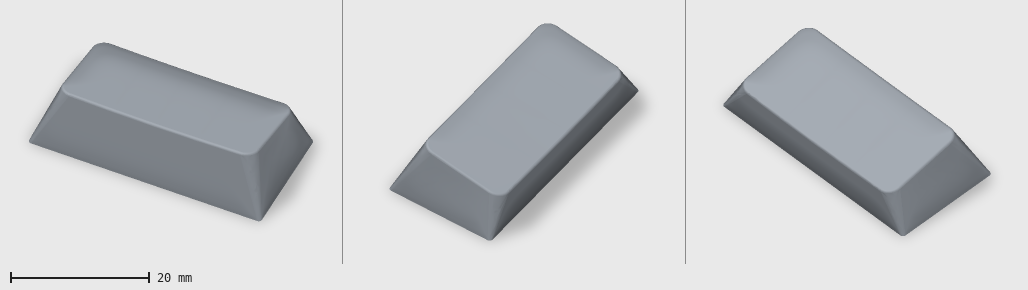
import cadquery as cq
import math

base_length = 37.15
base_width = 18.1
base_corner_radius = 0.52

top_length = 31.17
top_corner_radius = 2.1
top_front_y = -5.4
top_front_z = 8.8
top_rear_y = 8.75
top_rear_z = 6.1

dish_depth = 0.22
rim_radius = 0.4

top_run = top_rear_y - top_front_y
top_drop = top_front_z - top_rear_z
top_width = math.hypot(top_run, top_drop)
top_plane = cq.Plane(
    origin=(0, (top_front_y + top_rear_y) / 2, (top_front_z + top_rear_z) / 2),
    xDir=(1, 0, 0),
    normal=(0, top_drop, top_run),
)


def rounded_outline(plane, length, width, radius):
    """Closed rounded rectangle centred on the given plane."""
    outline = cq.Workplane(plane).rect(length, width).val()
    return outline.fillet2D(radius, outline.Vertices())


def tapered_body():
    """Straight-ruled walls from the flat base to the tilted top."""
    base = rounded_outline(cq.Plane.XY(), base_length, base_width, base_corner_radius)
    top = rounded_outline(top_plane, top_length, top_width, top_corner_radius)
    return cq.Workplane(cq.Solid.makeLoft([base, top], True))


def dish_cutter():
    """Large cylinder running down the slope; its arc meets the top's left and right edges."""
    half_length = top_length / 2
    dish_radius = (half_length**2 + dish_depth**2) / (2 * dish_depth)
    cutter_plane = cq.Plane(top_plane.origin, top_plane.xDir, -top_plane.yDir)
    return (
        cq.Workplane(cutter_plane)
        .center(0, dish_radius - dish_depth)
        .circle(dish_radius)
        .extrude(top_width, both=True)
    )


body = tapered_body().cut(dish_cutter())
result = body.faces(">Z").edges().fillet(rim_radius)